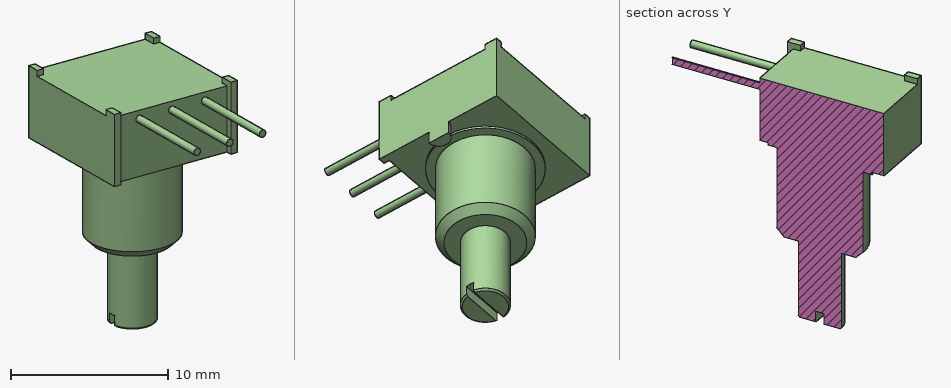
import cadquery as cq

body_side = 9.52
body_height = 5.0
foot_height = 0.41
foot_length = 0.96
foot_width = 0.5
recess_depth = 0.43

axis_x = -0.07
flange_diameter = 7.62
flange_thickness = 0.17
bushing_diameter = 6.35
bushing_length = 6.58
bushing_chamfer = 0.55
shaft_diameter = 3.19
shaft_length = 12.13
shaft_chamfer = 0.12
slot_width = 0.58
slot_depth = 0.77

peg_radius = 0.79
peg_length = 0.95

pin_diameter = 0.51
pin_pitch = 2.54
pin_drop = 1.01
pin_reach = 6.0
pin_count = 3

half_side = body_side / 2
terminal_face_x = half_side - recess_depth
overlap = 0.17


def make_housing():
    block = cq.Workplane("XY").box(
        body_side, body_side, body_height - foot_height, centered=(True, True, False)
    )
    feet = (
        cq.Workplane("XY")
        .rect(body_side - foot_length, body_side - foot_width, forConstruction=True)
        .vertices()
        .rect(foot_length, foot_width)
        .extrude(body_height)
    )
    recess = (
        cq.Workplane("XY")
        .center(half_side - recess_depth / 2, 0)
        .rect(recess_depth, body_side - 2 * foot_width)
        .extrude(body_height)
    )
    return block.union(feet).cut(recess)


def hanging_cylinder(x, y, diameter, length):
    """Cylinder from just inside the housing down to Z = -length."""
    return (
        cq.Workplane("XY", origin=(x, y, overlap))
        .circle(diameter / 2)
        .extrude(-(length + overlap))
    )


def make_bushing():
    flange = hanging_cylinder(axis_x, 0, flange_diameter, flange_thickness)
    barrel = hanging_cylinder(axis_x, 0, bushing_diameter, bushing_length)
    return flange.union(barrel.faces("<Z").chamfer(bushing_chamfer))


def make_shaft():
    shaft = hanging_cylinder(axis_x, 0, shaft_diameter, shaft_length)
    shaft = shaft.faces("<Z").chamfer(shaft_chamfer)
    slot = cq.Workplane("XY", origin=(axis_x, 0, -shaft_length)).box(
        slot_width, shaft_diameter, slot_depth, centered=(True, True, False)
    )
    return shaft.cut(slot)


def make_peg():
    full_peg = hanging_cylinder(axis_x, half_side, 2 * peg_radius, peg_length)
    inside_housing_outline = cq.Workplane("XY").box(body_side, body_side, 2 * body_height)
    return full_peg.intersect(inside_housing_outline)


def make_pins():
    pin_start_x = terminal_face_x - overlap
    pin_end_x = half_side + pin_reach
    return (
        cq.Workplane("YZ", origin=(pin_start_x, 0, body_height - pin_drop))
        .rarray(pin_pitch, 0.17, pin_count, 1)
        .circle(pin_diameter / 2)
        .extrude(pin_end_x - pin_start_x)
    )


result = (
    make_housing()
    .union(make_bushing())
    .union(make_shaft())
    .union(make_peg())
    .union(make_pins())
)